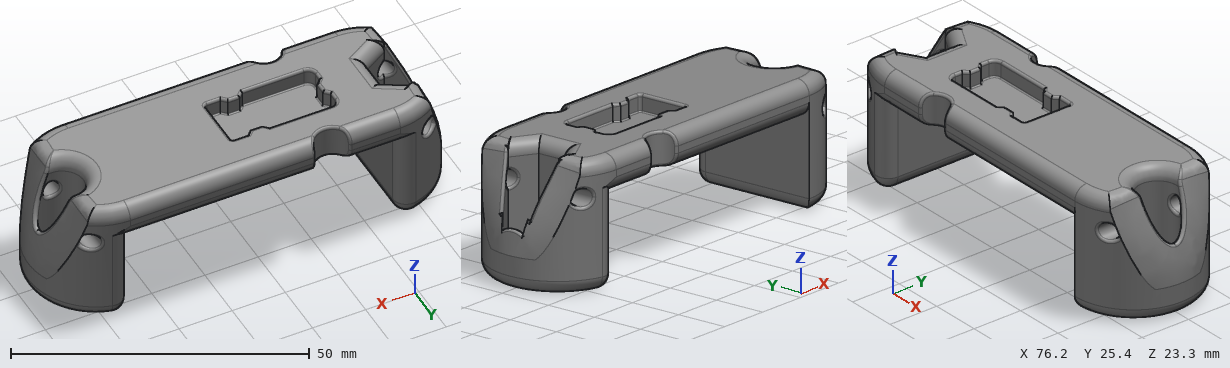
import cadquery as cq
import math

INCH = 25.4
WIDTH = INCH
LENGTH = 3 * INCH
HEIGHT = 23.28
PLATE = 0.25 * INCH
ROUND = 0.1 * INCH
EDGE_ROUND = 0.02 * INCH
ROUND_INSET = ROUND * (1 - math.sqrt(0.5))

END_R = WIDTH / 2
AXIS_X = LENGTH / 2 - END_R
BIG = 2 * LENGTH
TOLERANCE = 0.001

SLOPE_REACH = END_R / 2
SLOPE_DEPTH = 0.675 * INCH
SLOPE_TOP_RATE = 0.53
SLOPE_END_RATE = 0.06
SLOPE_SECTIONS = 4
SLOPE_HALF_WIDTH = 0.9 * END_R

FASTENER_X = AXIS_X + SLOPE_REACH
NUT_APOTHEM = 0.1875 * INCH
NUT_CORNER_R = 2 * NUT_APOTHEM / math.sqrt(3)
NUT_DEPTH = 17.4
FLANK_ROUND = 0.4
LIP_ROUND = 0.48
FASTENER_FLOOR = HEIGHT - NUT_DEPTH
BORE_D = 8.03
PIN_D = 3.17
PIN_Z = HEIGHT - 0.25 * INCH

NOTCH_R = 0.125 * INCH
NOTCH_X = -0.5 * INCH

POCKET_LEFT = -0.7 * INCH
POCKET_RIGHT = 2.4
POCKET_HALF_W = 5.05
POCKET_DEPTH = 0.125 * INCH
POCKET_LEFT_R = 2.85 / 2
KEY_RISE = 0.95
KEY_TIP_HALF = 1.1
KEY_BASE_HALF = 2.05
KEY_X = -2.73
POCKET_FLOOR_R = 0.25


def round_edges(body, lies_on, radius):
    """Round every edge whose sampled points all pass the test."""
    samples = (0, 0.3, 0.6, 1)
    edges = [e for e in body.edges().vals() if all(lies_on(e.positionAt(t)) for t in samples)]
    return body.newObject(edges).fillet(radius)


def rounded_bar():
    """Solid bar with round ends and a rounded top rim."""
    bar = cq.Workplane("XY").slot2D(LENGTH, WIDTH).extrude(HEIGHT)
    return bar.faces(">Z").edges().fillet(ROUND)


def slope_reach(depth):
    """Crest of the sloped end, measured from the end axis, at a depth below the top."""
    s = depth / SLOPE_DEPTH
    rise = s * s * (3 - 2 * s)
    top_part = SLOPE_TOP_RATE * SLOPE_DEPTH * s * (1 - s) ** 2
    end_part = SLOPE_END_RATE * SLOPE_DEPTH * s * s * (s - 1)
    return SLOPE_REACH + (END_R - SLOPE_REACH) * rise + top_part + end_part


def slope_section(depth):
    """Closed wire outside the sloped end; its inner side bows more with depth."""
    crest = AXIS_X + slope_reach(depth)
    outside = LENGTH
    w = SLOPE_HALF_WIDTH
    outline = cq.Workplane("XY", origin=(0, 0, HEIGHT - depth))
    if depth == 0:
        outline = outline.moveTo(crest, -w).lineTo(crest, w)
    else:
        bow_r = END_R * SLOPE_DEPTH / depth
        edge_x = crest - bow_r + math.sqrt(bow_r ** 2 - w ** 2)
        outline = outline.moveTo(edge_x, -w).threePointArc((crest, 0), (edge_x, w))
    return outline.lineTo(outside, w).lineTo(outside, -w).close().wires().val()


def sloped_envelope():
    """Oversize block carrying the sloped ends with their rounded top edges."""
    depths = [SLOPE_DEPTH * i / SLOPE_SECTIONS for i in range(SLOPE_SECTIONS + 1)]
    sections = [slope_section(depth) for depth in depths]
    right = cq.Workplane(cq.Solid.makeLoft(sections))
    left = right.mirror("YZ")
    on_base = (True, True, False)
    block = cq.Workplane("XY").box(LENGTH, 2 * SLOPE_HALF_WIDTH, HEIGHT, centered=on_base)
    block = block.cut(right).cut(left)
    block = block.faces(">Z").edges("<X or >X").fillet(ROUND)
    sides = cq.Workplane("XY").box(2 * FASTENER_X, BIG, HEIGHT, centered=on_base)
    return block.union(sides.cut(cq.Workplane("XY").box(BIG, 2 * SLOPE_HALF_WIDTH, BIG)))


def leg_gap_plan():
    """Space between the legs seen from above; three of its four mouth corners are flared."""
    center_y = math.sqrt((END_R - ROUND) ** 2 - ROUND ** 2)
    touch_scale = END_R / (END_R - ROUND)
    touch_x = AXIS_X + ROUND * touch_scale
    touch_y = center_y * touch_scale
    outside_x = touch_x + ROUND
    outside_y = touch_y + center_y
    mid_angle = (math.pi + math.atan2(center_y, ROUND)) / 2
    mid_x = AXIS_X + ROUND + ROUND * math.cos(mid_angle)
    mid_y = center_y + ROUND * math.sin(mid_angle)
    return (
        cq.Workplane("XY")
        .moveTo(AXIS_X, -outside_y)
        .lineTo(AXIS_X, center_y)
        .threePointArc((mid_x, mid_y), (touch_x, touch_y))
        .lineTo(outside_x, outside_y)
        .lineTo(-outside_x, outside_y)
        .lineTo(-touch_x, touch_y)
        .threePointArc((-mid_x, mid_y), (-AXIS_X, center_y))
        .lineTo(-AXIS_X, -center_y)
        .threePointArc((-mid_x, -mid_y), (-touch_x, -touch_y))
        .lineTo(-outside_x, -outside_y)
        .close()
    )


def leg_gap():
    """Open space under the bridge, with its mouth flared by the large rounding."""
    underside = HEIGHT - PLATE
    side = WIDTH / 2
    flat = side - ROUND
    mid_y = side - ROUND_INSET
    mid_z = underside + ROUND_INSET
    flare_top = underside + ROUND
    below = -ROUND
    section = (
        cq.Workplane("YZ")
        .moveTo(-flat, underside)
        .lineTo(flat, underside)
        .threePointArc((mid_y, mid_z), (side, flare_top))
        .lineTo(BIG, flare_top)
        .lineTo(BIG, below)
        .lineTo(-BIG, below)
        .lineTo(-BIG, flare_top)
        .lineTo(-side, flare_top)
        .threePointArc((-mid_y, mid_z), (-flat, underside))
        .close()
        .extrude(LENGTH, both=True)
    )
    return leg_gap_plan().extrude(HEIGHT).intersect(section)


def flared_profile(origin_x, start, wall):
    """Half section of a pocket whose wall flares into the top face."""
    mid = (wall + ROUND_INSET, HEIGHT - ROUND_INSET)
    return (
        cq.Workplane("XZ", origin=(origin_x, 0, 0))
        .moveTo(start, FASTENER_FLOOR)
        .lineTo(wall, FASTENER_FLOOR)
        .lineTo(wall, HEIGHT - ROUND)
        .threePointArc(mid, (wall + ROUND, HEIGHT))
        .lineTo(start, HEIGHT)
        .close()
    )


def nut_pocket():
    """Hexagonal pocket; the three walls facing the bridge flare into the top face."""
    lip_half = NUT_CORNER_R / 2
    far_x = INCH - NUT_APOTHEM
    far_half = lip_half + INCH / math.sqrt(3)
    pocket = (
        cq.Workplane("XY", origin=(-FASTENER_X, 0, FASTENER_FLOOR))
        .moveTo(-NUT_APOTHEM, -lip_half)
        .lineTo(-NUT_APOTHEM, lip_half)
        .lineTo(far_x, far_half)
        .lineTo(far_x, -far_half)
        .close()
        .extrude(NUT_DEPTH)
    )
    wall = flared_profile(0, -INCH, NUT_APOTHEM).extrude(INCH, both=True)
    for angle in (-60, 0, 60):
        turned = wall.rotate((0, 0, 0), (0, 0, 1), angle)
        pocket = pocket.intersect(turned.translate((-FASTENER_X, 0, 0)))
    return pocket


def on_lip(point):
    """True on the upper edge of the pocket wall nearest the end of the part."""
    at_wall = abs(point.x + FASTENER_X + NUT_APOTHEM) < TOLERANCE
    within = abs(point.y) < NUT_CORNER_R / 2 + TOLERANCE
    return at_wall and within and FASTENER_FLOOR + ROUND < point.z


def on_flank(point):
    """True on the two oblique outer walls of the nut pocket, clear of its floor."""
    outward = -(point.x + FASTENER_X) / 2 + abs(point.y) * math.sqrt(3) / 2
    return abs(outward - NUT_APOTHEM) < TOLERANCE and point.z > FASTENER_FLOOR + TOLERANCE


def is_sloped(edge):
    """True for an edge that both climbs and runs sideways."""
    start = edge.startPoint()
    end = edge.endPoint()
    return abs(start.z - end.z) > ROUND and abs(start.y - end.y) > EDGE_ROUND


def cut_nut_pocket(body):
    """Cut the nut pocket; its lip and its flanks are rounded in separate slices and joined."""
    pocketed = body.cut(nut_pocket())
    lip_x = -FASTENER_X - NUT_APOTHEM
    slice_box = cq.Workplane("XY").box(NUT_APOTHEM, BIG, BIG)
    flank_slice = slice_box.translate((lip_x + NUT_APOTHEM / 2, 0, 0))
    lip_slice = slice_box.translate((lip_x - NUT_APOTHEM / 2, 0, 0))
    lip = round_edges(pocketed, on_lip, LIP_ROUND).intersect(lip_slice)
    flanks = pocketed.intersect(flank_slice)
    rims = []
    for edge in flanks.edges().vals():
        if is_sloped(edge) and on_flank(edge.positionAt(0.3)) and on_flank(edge.positionAt(0.7)):
            rims.append(edge)
    flanks = flanks.newObject(rims).fillet(FLANK_ROUND)
    return pocketed.cut(flank_slice).cut(lip_slice).union(flanks).union(lip)


def cut_head_bore(body):
    """Round bore for the bolt head, flared into the top face and rounded at the slope."""
    r = BORE_D / 2
    bore = flared_profile(FASTENER_X, 0, r).revolve(360, (0, 0, 0), (0, 1, 0))

    def on_slope_rim(point):
        at_wall = abs(math.hypot(point.x - FASTENER_X, point.y) - r) < TOLERANCE
        above_floor = point.z > FASTENER_FLOOR + ROUND
        return at_wall and above_floor and point.x > FASTENER_X - TOLERANCE

    return round_edges(body.cut(bore), on_slope_rim, EDGE_ROUND)


def cut_pins(body):
    """Cross holes through both fastener axes, with rounded mouths."""
    centers = [(-FASTENER_X, PIN_Z), (FASTENER_X, PIN_Z)]
    pins = cq.Workplane("XZ").pushPoints(centers).circle(PIN_D / 2).extrude(WIDTH, both=True)

    def on_pin(point):
        return abs(math.hypot(abs(point.x) - FASTENER_X, point.z - PIN_Z) - PIN_D / 2) < TOLERANCE

    return round_edges(body.cut(pins), on_pin, EDGE_ROUND)


def cut_notches(body):
    """Half-round notches in both long sides of the bridge, with rounded edges."""
    centers = [(NOTCH_X, -WIDTH / 2), (NOTCH_X, WIDTH / 2)]
    notches = cq.Workplane("XY").pushPoints(centers).circle(NOTCH_R).extrude(HEIGHT)

    def on_notch(point):
        return abs(math.hypot(point.x - NOTCH_X, abs(point.y) - WIDTH / 2) - NOTCH_R) < TOLERANCE

    return round_edges(body.cut(notches), on_notch, EDGE_ROUND)


def keyed_pocket():
    """Shallow pocket with rounded corners and three locating keys on its walls."""
    base = cq.Workplane("XY", origin=(0, 0, HEIGHT - POCKET_DEPTH))
    pocket = (
        base.moveTo(POCKET_LEFT, -POCKET_HALF_W)
        .lineTo(POCKET_RIGHT, -POCKET_HALF_W)
        .lineTo(POCKET_RIGHT, POCKET_HALF_W)
        .lineTo(POCKET_LEFT, POCKET_HALF_W)
        .close()
        .extrude(POCKET_DEPTH)
    )
    pocket = pocket.edges("|Z and <X").fillet(POCKET_LEFT_R).edges("|Z and >X").fillet(EDGE_ROUND)
    key_points = [
        (-KEY_BASE_HALF, 0),
        (-KEY_TIP_HALF, KEY_RISE),
        (KEY_TIP_HALF, KEY_RISE),
        (KEY_BASE_HALF, 0),
    ]
    key = base.polyline(key_points).close().extrude(POCKET_DEPTH)
    placements = ((KEY_X, -POCKET_HALF_W, 0), (KEY_X, POCKET_HALF_W, 180), (POCKET_LEFT, 0, -90))
    for x, y, angle in placements:
        pocket = pocket.cut(key.rotate((0, 0, 0), (0, 0, 1), angle).translate((x, y, 0)))
    return pocket.faces("<Z").edges().fillet(POCKET_FLOOR_R)


def cut_keyed_pocket(body):
    """Cut the keyed pocket and round its rim."""
    def on_rim(point):
        in_length = POCKET_LEFT - TOLERANCE < point.x < POCKET_RIGHT + TOLERANCE
        in_width = abs(point.y) < POCKET_HALF_W + TOLERANCE
        return in_length and in_width and abs(point.z - HEIGHT) < TOLERANCE

    return round_edges(body.cut(keyed_pocket()), on_rim, EDGE_ROUND)


body = rounded_bar().intersect(sloped_envelope()).cut(leg_gap())
body = body.faces("<Z").edges().fillet(ROUND)
body = cut_nut_pocket(body)
body = cut_head_bore(body)
body = cut_pins(body)
body = cut_notches(body)
result = cut_keyed_pocket(body)